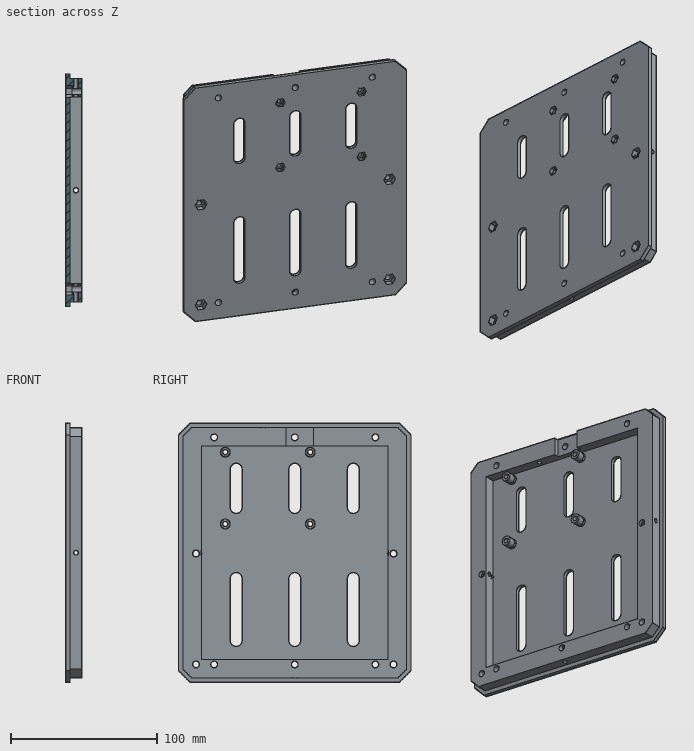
import cadquery as cq
import math


plate_width = 159.0
plate_height = 177.0
plate_thickness = 3.0
plate_chamfer = 8.0

total_thickness = 11.0
frame_inset = 3.0
frame_chamfer = 6.0
rail_width = 12.7

front_x = -total_thickness / 2
plate_back_x = front_x + plate_thickness
back_x = total_thickness / 2
frame_depth = total_thickness - plate_thickness
frame_mid_x = (plate_back_x + back_x) / 2
frame_half_width = plate_width / 2 - frame_inset
frame_half_height = plate_height / 2 - frame_inset
top_rail_z = frame_half_height - rail_width

slot_width = 8.0
slot_pitch = 40.0
upper_slot_ends = (26.9, 61.0)
lower_slot_ends = (-63.9, -13.6)

mount_diameter = 4.5
mount_pitch = 55.0
mount_rows = (78.8, -76.3)

bolt_diameter = 4.5
bolt_nut_flats = 7.0
bolt_nut_depth = 4.5
bolt_y = 67.5
bolt_rows = (-0.5, -76.3)

post_diameter = 6.7
post_height = 7.0
post_hole_diameter = 3.4
post_nut_flats = 5.7
post_nut_depth = 4.5
post_columns = (10.6, -47.5)
post_rows = (68.7, 19.6)

notch_ends = (-5.8, 12.7)

side_hole_diameter = 3.0
bottom_hole_diameter = 3.4
top_hole_diameter = 3.4
top_hole_y = -21.6


def block(x_range, y_range, z_range):
    """Box between the given pairs of limits."""
    limits = (x_range, y_range, z_range)
    size = [high - low for low, high in limits]
    corner = tuple(low for low, high in limits)
    return cq.Workplane("XY").box(*size, centered=False).translate(corner)


def chamfered_panel(x_start, thickness, width, height, chamfer):
    """Upright panel centred on the X axis with its four corners cut off."""
    return (
        cq.Workplane("YZ", origin=(x_start, 0, 0))
        .rect(width, height)
        .extrude(thickness)
        .edges("|X")
        .chamfer(chamfer)
    )


def round_bars(points, x_start, length, diameter):
    """Cylinders along +X at the given (Y, Z) points."""
    return (
        cq.Workplane("YZ", origin=(x_start, 0, 0))
        .pushPoints(points)
        .circle(diameter / 2)
        .extrude(length)
    )


def nut_holes(points, diameter, flats, depth):
    """Through holes along X with hexagonal nut pockets in the front face."""
    pockets = (
        cq.Workplane("YZ", origin=(front_x, 0, 0))
        .pushPoints(points)
        .polygon(6, flats / math.cos(math.pi / 6))
        .extrude(depth)
    )
    return pockets.union(round_bars(points, front_x, total_thickness, diameter))


def slot_row(ends):
    """Three vertical round-ended slots between two heights."""
    low, high = ends
    centres = [(column * slot_pitch, (low + high) / 2) for column in (-1, 0, 1)]
    return (
        cq.Workplane("YZ", origin=(front_x, 0, 0))
        .pushPoints(centres)
        .slot2D(high - low, slot_width, 90)
        .extrude(plate_thickness)
    )


def rim_frame():
    """Chamfered frame with an open rectangular middle."""
    outside = chamfered_panel(
        plate_back_x, frame_depth, 2 * frame_half_width, 2 * frame_half_height, frame_chamfer
    )
    inner_half_width = frame_half_width - rail_width
    opening = block(
        (plate_back_x, back_x),
        (-inner_half_width, inner_half_width),
        (-top_rail_z, top_rail_z),
    )
    return outside.cut(opening)


def rail_hole_z(y, z_start, length, diameter):
    """Cylinder along +Z, halfway through the frame depth."""
    return (
        cq.Workplane("XY", origin=(frame_mid_x, y, z_start))
        .circle(diameter / 2)
        .extrude(length)
    )


def side_hole():
    """Cylinder along Y through both side rails at mid height."""
    return (
        cq.Workplane("XZ", origin=(frame_mid_x, 0, 0))
        .circle(side_hole_diameter / 2)
        .extrude(frame_half_width, both=True)
    )


post_points = [(y, z) for y in post_columns for z in post_rows]
bolt_points = [(side * bolt_y, z) for side in (-1, 1) for z in bolt_rows]
mount_points = [(column * mount_pitch, z) for column in (-1, 0, 1) for z in mount_rows]

body = chamfered_panel(front_x, plate_thickness, plate_width, plate_height, plate_chamfer)
body = body.union(rim_frame())
body = body.union(round_bars(post_points, plate_back_x, post_height, post_diameter))

body = body.cut(slot_row(upper_slot_ends))
body = body.cut(slot_row(lower_slot_ends))
body = body.cut(round_bars(mount_points, front_x, total_thickness, mount_diameter))
body = body.cut(nut_holes(bolt_points, bolt_diameter, bolt_nut_flats, bolt_nut_depth))
body = body.cut(nut_holes(post_points, post_hole_diameter, post_nut_flats, post_nut_depth))

body = body.cut(block((frame_mid_x, back_x), notch_ends, (top_rail_z, frame_half_height)))

body = body.cut(rail_hole_z(top_hole_y, top_rail_z, rail_width, top_hole_diameter))
body = body.cut(rail_hole_z(0, -frame_half_height, rail_width, bottom_hole_diameter))
body = body.cut(side_hole())

result = body